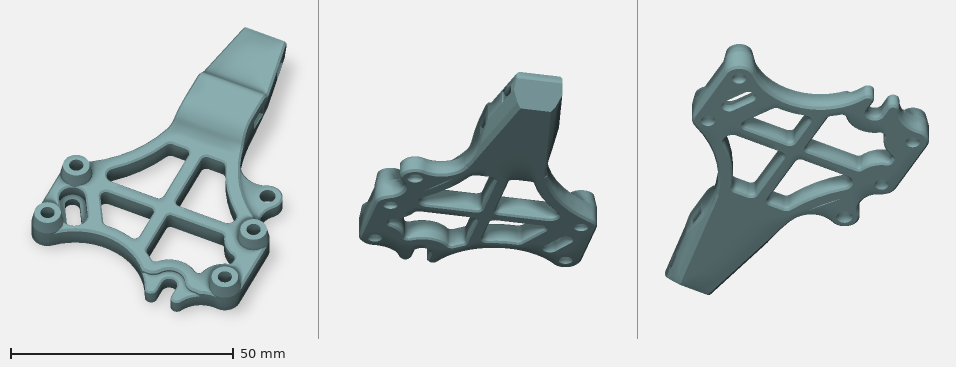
import cadquery as cq
import math

PLATE_HEIGHT = 5.0
LOW_HEIGHT = 4.0
BOSS_HEIGHT = 8.0
CREST_HEIGHT = 8.8
TONGUE_HEIGHT = 7.2
EDGE_CHAMFER = 0.5
OPENING_CHAMFER = 0.4

BOSS_X = 22.0
BOSS_PITCH_Y = 15.2
BOSS_RADIUS = 3.6
BOSS_TOP_RADIUS = 3.0
BOSS_HOLE_DIAMETER = 3.2

TIP_Y = 53.05
TIP_HALF_WIDTH = 5.3
SHOULDER_Y = 37.1
ARM_HALF_WIDTH = 8.2
FLARE_Y = 28.5
CREST_FRONT_Y = 28.5
CREST_BACK_Y = 34.6
RAMP_CONVEX_RADIUS = 7.0
RAMP_CONCAVE_RADIUS = 3.0
STEP_CONVEX_RADIUS = 3.0
STEP_CONCAVE_RADIUS = 2.0
TIP_FACE_BOTTOM = 5.5
TIP_SLOPE_LENGTH = 3.8
FLANK_TOP = 3.34
FLANK_KNEE = 1.03
FLANK_INSET_SLOPE = 0.61

CHANNEL_Y = (32.1, 47.35)
CHANNEL_LENGTH = 5.0
CHANNEL_FLOOR = 3.5
CHANNEL_ROOF = 5.05
CHANNEL_MOUTH_RADIUS = 1.35

CABLE_X = 10.15
CABLE_Y = -19.4
CABLE_RADIUS = 1.8
PRONG_RADIUS = 1.4
PRONG_Y = -22.15
TAB_STEP_RADIUS = 3.6
TAB_STEP_Y = -19.15
TAB_STEP_TILT = -2.5
TAB_STEP_FILLET = 3.0
BELLY_RADIUS = 15.7
TAB_FLANK_RADIUS = 7.0

LUG_CENTER = (19.38, 13.04)
LUG_RADIUS = 3.4
LUG_HOLE_DIAMETER = 3.6
LUG_ARM_FILLET = 6.0
LUG_BOSS_FILLET = 4.5

BAR_HALF_WIDTH = 1.55
RIM_WIDTH = 3.0
UPPER_RIM_WIDTH = 3.3
UPPER_WINDOW_TOP = 17.2
WINDOW_FILLET = 1.3
WINDOW_TOE_FILLET = 2.0
NOTCH_X = 20.6
NOTCH_FILLET = 1.0

SLOT_CENTER = (-18.67, -8.64)
SLOT_ANGLE = 120.0
SLOT_PITCH = 5.2
SLOT_RADIUS = 1.7
SLOT_POCKET_RADIUS = 3.0
SLOT_POCKET_FLOOR = 2.0
SLOT_WINDOW_DISTANCE = 6.3

CUT_SIZE = 100.0
TOLERANCE = 0.01


def toward(center, radius, target):
    """Point of a circle that lies in the direction of target."""
    distance = math.dist(center, target)
    return (
        center[0] + radius * (target[0] - center[0]) / distance,
        center[1] + radius * (target[1] - center[1]) / distance,
    )


def midpoint(a, b):
    return ((a[0] + b[0]) / 2, (a[1] + b[1]) / 2)


def circle_meet(c1, d1, c2, d2, left=False):
    """Point at distance d1 from c1 and d2 from c2, right (or left) of the way from c1 to c2."""
    span = math.dist(c1, c2)
    along = (d1**2 - d2**2 + span**2) / (2 * span)
    across = math.sqrt(d1**2 - along**2) * (-1 if left else 1)
    ux = (c2[0] - c1[0]) / span
    uy = (c2[1] - c1[1]) / span
    return (c1[0] + along * ux + across * uy, c1[1] + along * uy - across * ux)


def arc(sketch, center, radius, end):
    """Continue the outline with the shorter arc about center, from the current point to end."""
    start = sketch.val().endPoint() if hasattr(sketch.val(), "endPoint") else sketch.val()
    return sketch.threePointArc(toward(center, radius, midpoint((start.x, start.y), end)), end)


def mirrored(point):
    return (-point[0], point[1])


BOSS_RIGHT_TOP = (BOSS_X, 0.0)
BOSS_RIGHT_LOW = (BOSS_X, -BOSS_PITCH_Y)
BOSS_LEFT_LOW = mirrored(BOSS_RIGHT_LOW)
BOSS_LEFT_TOP = mirrored(BOSS_RIGHT_TOP)
BOSSES = (BOSS_RIGHT_TOP, BOSS_RIGHT_LOW, BOSS_LEFT_LOW, BOSS_LEFT_TOP)
SIDE_X = BOSS_X + BOSS_RADIUS
TAPER = (ARM_HALF_WIDTH - TIP_HALF_WIDTH) / (TIP_Y - SHOULDER_Y)

flare_offset = BOSS_X - ARM_HALF_WIDTH
FLARE_RADIUS = (flare_offset**2 + FLARE_Y**2 - BOSS_RADIUS**2) / (2 * (flare_offset + BOSS_RADIUS))
FLARE_CENTER = (ARM_HALF_WIDTH + FLARE_RADIUS, FLARE_Y)

PRONG_OFFSET = CABLE_RADIUS + PRONG_RADIUS
PRONG_LEFT = (CABLE_X - PRONG_OFFSET, PRONG_Y)
PRONG_RIGHT = (CABLE_X + PRONG_OFFSET, PRONG_Y)
BELLY_CENTER = circle_meet(
    BOSS_LEFT_LOW, BELLY_RADIUS + BOSS_RADIUS, PRONG_LEFT, BELLY_RADIUS + PRONG_RADIUS
)
TAB_FLANK_CENTER = circle_meet(
    PRONG_RIGHT, TAB_FLANK_RADIUS + PRONG_RADIUS, BOSS_RIGHT_LOW, TAB_FLANK_RADIUS + BOSS_RADIUS
)


def main_outline():
    """Plate, arm and cable tab, without the lug."""
    flare_end = toward(BOSS_RIGHT_TOP, BOSS_RADIUS, FLARE_CENTER)
    s = cq.Workplane("XY").moveTo(-TIP_HALF_WIDTH, TIP_Y).lineTo(TIP_HALF_WIDTH, TIP_Y)
    s = s.lineTo(ARM_HALF_WIDTH, SHOULDER_Y).lineTo(ARM_HALF_WIDTH, FLARE_Y)
    s = arc(s, FLARE_CENTER, FLARE_RADIUS, flare_end)
    s = arc(s, BOSS_RIGHT_TOP, BOSS_RADIUS, (SIDE_X, 0))
    s = s.lineTo(SIDE_X, -BOSS_PITCH_Y)
    s = arc(s, BOSS_RIGHT_LOW, BOSS_RADIUS, toward(BOSS_RIGHT_LOW, BOSS_RADIUS, TAB_FLANK_CENTER))
    s = arc(s, TAB_FLANK_CENTER, TAB_FLANK_RADIUS, toward(PRONG_RIGHT, PRONG_RADIUS, TAB_FLANK_CENTER))
    s = s.threePointArc((PRONG_RIGHT[0], PRONG_Y - PRONG_RADIUS), (CABLE_X + CABLE_RADIUS, PRONG_Y))
    s = s.lineTo(CABLE_X + CABLE_RADIUS, CABLE_Y)
    s = s.threePointArc((CABLE_X, CABLE_Y + CABLE_RADIUS), (CABLE_X - CABLE_RADIUS, CABLE_Y))
    s = s.lineTo(CABLE_X - CABLE_RADIUS, PRONG_Y)
    s = s.threePointArc(
        (PRONG_LEFT[0], PRONG_Y - PRONG_RADIUS), toward(PRONG_LEFT, PRONG_RADIUS, BELLY_CENTER)
    )
    s = arc(s, BELLY_CENTER, BELLY_RADIUS, toward(BOSS_LEFT_LOW, BOSS_RADIUS, BELLY_CENTER))
    diagonal = BOSS_RADIUS / math.sqrt(2)
    low_corner = (BOSS_LEFT_LOW[0] - diagonal, BOSS_LEFT_LOW[1] - diagonal)
    s = s.threePointArc(low_corner, (-SIDE_X, -BOSS_PITCH_Y))
    s = s.lineTo(-SIDE_X, 0)
    s = arc(s, BOSS_LEFT_TOP, BOSS_RADIUS, mirrored(flare_end))
    s = arc(s, mirrored(FLARE_CENTER), FLARE_RADIUS, (-ARM_HALF_WIDTH, FLARE_Y))
    return s.lineTo(-ARM_HALF_WIDTH, SHOULDER_Y).close()


def side_profile():
    """Arm and plate seen along X."""
    ramp_sum = RAMP_CONVEX_RADIUS + RAMP_CONCAVE_RADIUS
    ramp_angle = math.acos(1 - (CREST_HEIGHT - PLATE_HEIGHT) / ramp_sum)
    step_sum = STEP_CONVEX_RADIUS + STEP_CONCAVE_RADIUS
    step_angle = math.acos(1 - (CREST_HEIGHT - TONGUE_HEIGHT) / step_sum)

    def s_curve(s, y_top, side, convex, concave, angle, z_low, downhill):
        y_low = y_top + side * (convex + concave) * math.sin(angle)

        def convex_point(a):
            return (y_top + side * convex * math.sin(a), CREST_HEIGHT - convex * (1 - math.cos(a)))

        def concave_point(a):
            return (y_low - side * concave * math.sin(a), z_low + concave * (1 - math.cos(a)))

        half = angle / 2
        if downhill:
            s = s.threePointArc(convex_point(half), convex_point(angle))
            return s.threePointArc(concave_point(half), (y_low, z_low))
        s = s.lineTo(y_low, z_low).threePointArc(concave_point(half), concave_point(angle))
        return s.threePointArc(convex_point(half), (y_top, CREST_HEIGHT))

    s = cq.Workplane("YZ").moveTo(-CUT_SIZE / 2, 0).lineTo(-CUT_SIZE / 2, PLATE_HEIGHT)
    s = s_curve(
        s, CREST_FRONT_Y, -1, RAMP_CONVEX_RADIUS, RAMP_CONCAVE_RADIUS, ramp_angle, PLATE_HEIGHT, False
    )
    s = s.lineTo(CREST_BACK_Y, CREST_HEIGHT)
    s = s_curve(
        s, CREST_BACK_Y, 1, STEP_CONVEX_RADIUS, STEP_CONCAVE_RADIUS, step_angle, TONGUE_HEIGHT, True
    )
    s = s.lineTo(CUT_SIZE, TONGUE_HEIGHT).lineTo(CUT_SIZE, 0).close()
    return s.extrude(CUT_SIZE / 2, both=True)


def cylinder(center, radius):
    return cq.Workplane("XY").center(*center).circle(radius).extrude(CUT_SIZE)


def box_between(x0, y0, x1, y1):
    center = midpoint((x0, y0), (x1, y1))
    return cq.Workplane("XY").center(*center).rect(abs(x1 - x0), abs(y1 - y0)).extrude(CUT_SIZE)


def tab_step():
    """Region above the cable tab where the plate stops short."""
    region = box_between(-CABLE_X, -CUT_SIZE, CUT_SIZE, 0).rotate((0, 0, 0), (0, 0, 1), TAB_STEP_TILT)
    region = region.translate((CABLE_X, TAB_STEP_Y, 0))
    region = region.union(cylinder((CABLE_X, CABLE_Y), TAB_STEP_RADIUS))
    corners = region.edges("|Z").filter(lambda edge: abs(edge.Center().x - CABLE_X) < 2 * TAB_STEP_RADIUS)
    return corners.fillet(TAB_STEP_FILLET)


def chamfered_rim(body):
    """Chamfer the upper edges of a body, but not the edges running straight across the arm."""

    def is_rim(edge):
        box = edge.BoundingBox()
        across_arm = box.ylen < TOLERANCE and box.ymin > 0
        return not across_arm

    upward_faces = body.faces().filter(lambda face: face.normalAt().z > TOLERANCE)
    return upward_faces.edges().filter(is_rim).chamfer(EDGE_CHAMFER)


def plate_and_arm():
    """Plate and arm down to the tab step, with the outer edges chamfered."""
    body = main_outline().extrude(CUT_SIZE).cut(tab_step()).intersect(side_profile())
    tongue_zone = box_between(-CUT_SIZE, SHOULDER_Y, CUT_SIZE, CUT_SIZE)
    tongue = chamfered_rim(body.intersect(tongue_zone))
    body = chamfered_rim(body.cut(tongue_zone)).union(tongue)
    return body.faces("<Z").edges().chamfer(EDGE_CHAMFER)


def low_slab(outline, edges=None):
    """Slab of the low height, chamfered at the top and at the bottom along the chosen edges."""
    slab = outline.extrude(LOW_HEIGHT)
    slab = slab.faces("<Z").edges(edges).chamfer(EDGE_CHAMFER)
    return slab.faces(">Z").edges(edges).chamfer(OPENING_CHAMFER)


def lug_outline():
    """Lug with its fillets to the arm and to the standoff, reaching inside the plate."""
    arm_fillet = circle_meet(
        LUG_CENTER, LUG_RADIUS + LUG_ARM_FILLET, FLARE_CENTER, FLARE_RADIUS - LUG_ARM_FILLET, left=True
    )
    boss_fillet = circle_meet(
        BOSS_RIGHT_TOP, LUG_BOSS_FILLET + BOSS_RADIUS, LUG_CENTER, LUG_BOSS_FILLET + LUG_RADIUS
    )
    arm_end = toward(arm_fillet, -LUG_ARM_FILLET, FLARE_CENTER)
    far_side = toward(LUG_CENTER, -LUG_RADIUS, (0, 0))
    rim_middle = toward(FLARE_CENTER, FLARE_RADIUS + UPPER_RIM_WIDTH / 2, arm_end)
    s = cq.Workplane("XY").moveTo(*BOSS_RIGHT_TOP).lineTo(*rim_middle).lineTo(*arm_end)
    s = arc(s, arm_fillet, LUG_ARM_FILLET, toward(LUG_CENTER, LUG_RADIUS, arm_fillet))
    s = s.threePointArc(far_side, toward(LUG_CENTER, LUG_RADIUS, boss_fillet))
    s = arc(s, boss_fillet, LUG_BOSS_FILLET, toward(BOSS_RIGHT_TOP, BOSS_RADIUS, boss_fillet))
    return s.close()


def standoff(center):
    """Straight shank through the plate with a cone on top."""
    cone_height = BOSS_HEIGHT - PLATE_HEIGHT
    taper = math.degrees(math.atan((BOSS_RADIUS - BOSS_TOP_RADIUS) / cone_height))
    shank = cq.Workplane("XY").workplane(offset=EDGE_CHAMFER)
    shank = shank.circle(BOSS_RADIUS).extrude(PLATE_HEIGHT - EDGE_CHAMFER)
    cone = shank.faces(">Z").workplane().circle(BOSS_RADIUS).extrude(cone_height, taper=taper)
    return cone.translate((*center, 0))


def upper_window():
    """Window on the right of the arm, following the flared edge."""
    window = box_between(BAR_HALF_WIDTH, BAR_HALF_WIDTH, BOSS_X, UPPER_WINDOW_TOP)
    window = window.cut(cylinder(FLARE_CENTER, FLARE_RADIUS + UPPER_RIM_WIDTH))
    window = window.edges("|Z and >X").fillet(WINDOW_TOE_FILLET)
    corners = window.edges("|Z and (<X or >Y)")
    return corners.fillet(WINDOW_FILLET)


def lower_left_window():
    """Window bounded by the slanted slot and the concave lower edge."""
    window = box_between(-BOSS_X, -BOSS_PITCH_Y, -BAR_HALF_WIDTH, -BAR_HALF_WIDTH)
    window = window.cut(cylinder(BELLY_CENTER, BELLY_RADIUS + RIM_WIDTH))
    slot_side = box_between(-CUT_SIZE, -CUT_SIZE, SLOT_WINDOW_DISTANCE, CUT_SIZE)
    slot_side = slot_side.rotate((0, 0, 0), (0, 0, 1), SLOT_ANGLE - 90)
    window = window.cut(slot_side.translate((*SLOT_CENTER, 0)))
    return window.edges("|Z").fillet(WINDOW_FILLET)


def lower_right_window():
    """Window following the two right standoffs, the cable slot and the lower edge."""
    window = box_between(BAR_HALF_WIDTH, CABLE_Y + CABLE_RADIUS, NOTCH_X, -BAR_HALF_WIDTH)
    window = window.cut(cylinder(BELLY_CENTER, BELLY_RADIUS + RIM_WIDTH))
    for center in (BOSS_RIGHT_TOP, BOSS_RIGHT_LOW):
        window = window.cut(cylinder(center, BOSS_RADIUS + RIM_WIDTH))
    window = window.cut(cylinder((CABLE_X, CABLE_Y), TAB_STEP_RADIUS + RIM_WIDTH))
    return window.edges("|Z").fillet(NOTCH_FILLET)


def slanted_slot(radius, floor):
    slot = cq.Workplane("XY").workplane(offset=floor).center(*SLOT_CENTER)
    return slot.slot2D(SLOT_PITCH + 2 * radius, 2 * radius, SLOT_ANGLE).extrude(CUT_SIZE)


def strap_channel(center_y):
    """Channel across the arm, its roof rounded at both mouths."""
    near = center_y - CHANNEL_LENGTH / 2
    mouth_roof = CHANNEL_ROOF + CHANNEL_MOUTH_RADIUS
    opening = cq.Workplane("XY").workplane(offset=CHANNEL_FLOOR).center(0, center_y)
    opening = opening.rect(CUT_SIZE, CHANNEL_LENGTH).extrude(mouth_roof - CHANNEL_FLOOR)
    half_width = ARM_HALF_WIDTH
    if center_y > SHOULDER_Y:
        half_width -= TAPER * (center_y - SHOULDER_Y)
    roof = cq.Workplane("XZ", origin=(0, near, 0)).center(0, CHANNEL_ROOF + CUT_SIZE / 2)
    roof = roof.rect(2 * half_width, CUT_SIZE).extrude(-CHANNEL_LENGTH)
    return opening.cut(roof.edges("|Y and <Z").fillet(CHANNEL_MOUTH_RADIUS))


def flank_cut():
    """Material removed under the right flank of the tongue, parallel to its tapered side."""
    angle = math.atan(TAPER)
    plane = cq.Plane(
        origin=(ARM_HALF_WIDTH, SHOULDER_Y, 0),
        xDir=(math.cos(angle), math.sin(angle), 0),
        normal=(math.sin(angle), -math.cos(angle), 0),
    )
    knee_inset = FLANK_INSET_SLOPE * (FLANK_TOP - FLANK_KNEE)
    s = cq.Workplane(plane).moveTo(0, FLANK_TOP).lineTo(-knee_inset, FLANK_KNEE)
    s = s.lineTo(-knee_inset - FLANK_KNEE, 0).lineTo(ARM_HALF_WIDTH, 0).lineTo(ARM_HALF_WIDTH, FLANK_TOP)
    return s.close().extrude(TIP_Y - SHOULDER_Y + 1, both=True)


def tip_cut():
    """Material removed under the sloping end of the tongue."""
    s = cq.Workplane("YZ").moveTo(TIP_Y, TIP_FACE_BOTTOM).lineTo(TIP_Y - TIP_SLOPE_LENGTH, 0)
    return s.lineTo(TIP_Y, 0).close().extrude(CUT_SIZE, both=True)


part = plate_and_arm().union(low_slab(main_outline()))

for window in (upper_window(), upper_window().mirror("YZ"), lower_left_window(), lower_right_window()):
    part = part.cut(window)
part = part.cut(slanted_slot(SLOT_POCKET_RADIUS, SLOT_POCKET_FLOOR))

for rim_height in (PLATE_HEIGHT, 0):
    level = part.faces("|Z").filter(lambda face: abs(face.Center().z - rim_height) < TOLERANCE)
    opening_rims = [edge for wire in level.val().innerWires() for edge in wire.Edges()]
    part = part.newObject(opening_rims).chamfer(OPENING_CHAMFER)
part = part.cut(slanted_slot(SLOT_RADIUS, 0))

part = part.union(low_slab(lug_outline(), "%CIRCLE"))

for cut in (flank_cut(), flank_cut().mirror("YZ"), tip_cut()):
    part = part.cut(cut)
for channel_y in CHANNEL_Y:
    part = part.cut(strap_channel(channel_y))

for boss in (BOSS_RIGHT_TOP, BOSS_RIGHT_LOW):
    part = part.union(standoff(boss)).union(standoff(boss).mirror("YZ"))
for boss in BOSSES:
    part = part.cut(cylinder(boss, BOSS_HOLE_DIAMETER / 2))
result = part.cut(cylinder(LUG_CENTER, LUG_HOLE_DIAMETER / 2))